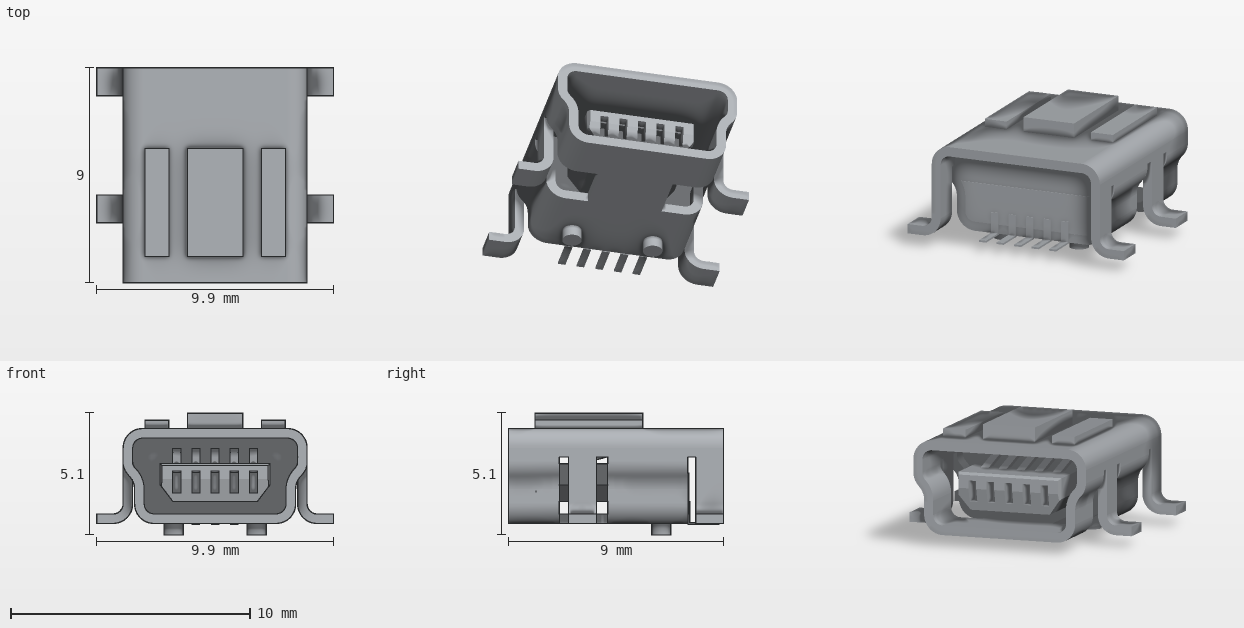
import cadquery as cq
import math


LENGTH = 9.0
SPAN = 9.9
SHELL_HALF_WIDTH = 3.85
SHELL_HEIGHT = 3.98
WALL = 0.41
BEND_RADIUS = 0.82
WAIST_TOP = 2.59
WAIST_ANGLE = 45.0

SLOT_TOP = 2.78
FRONT_CUT = (2.13, 4.15)
FLOOR_HALF_WIDTH = 1.58
FRONT_LEG = (2.5, 3.68)
REAR_CUT_START = 7.5
REAR_LEG = (7.82, LENGTH)

PAD_START = 1.1
PAD_LENGTH = 4.52
CENTRE_PAD_WIDTH = 2.32
CENTRE_PAD_HEIGHT = 0.63
SIDE_PAD_WIDTH = 1.0
SIDE_PAD_HEIGHT = 0.35
SIDE_PAD_X = 2.44

BLOCK_FRONT = 4.85
REAR_STEP_TOP = 2.11
REAR_STEP_END = 7.54
PEG_DIAMETER = 0.81
PEG_X = 1.73
PEG_Y = 6.39
PEG_DROP = 0.49

TONGUE_FRONT = 1.02
TONGUE_TOP = 2.5
TONGUE_SHOULDER = 1.62
TONGUE_BOTTOM = 0.92
TONGUE_HALF_WIDTH = 2.3
TONGUE_BOTTOM_HALF_WIDTH = 1.76
TAPER_LENGTH = 0.24
TAPER_INSET = 0.08
NOSE_BOTTOM = 1.86

CONTACT_COUNT = 5
CONTACT_PITCH = 0.8
CONTACT_WIDTH = 0.35
POCKET_BOTTOM = 1.29
POCKET_TOP = 2.2
POCKET_DEPTH = 0.79
TIP_THICKNESS = 0.07
TIP_SETBACK = 0.4
BEAM_FRONT = 2.475
BEAM_REAR_TOP = 3.15
BEAM_THICKNESS = 0.17
TAIL_WIDTH = 0.32
TAIL_TOP = 0.92
TAIL_BACK = 7.58
TAIL_END = 8.81
TAIL_DROP = 0.04
TAIL_THICKNESS = 0.08

contact_positions = [CONTACT_PITCH * (i - (CONTACT_COUNT - 1) / 2) for i in range(CONTACT_COUNT)]


def box(x_range, y_range, z_range):
    """Axis-aligned box between the given limits."""
    sizes = [high - low for low, high in (x_range, y_range, z_range)]
    corner = (x_range[0], y_range[0], z_range[0])
    return cq.Workplane("XY").box(*sizes, centered=False).translate(corner)


def centred_box(centre_x, width, y_range, z_range):
    """Box of the given width, centred on centre_x."""
    return box((centre_x - width / 2, centre_x + width / 2), y_range, z_range)


def along_y(sketch, y_start, y_end):
    """Extrude an XZ outline rearward from y_start to y_end."""
    return sketch.extrude(y_start - y_end).translate((0, y_start, 0))


def along_x(points, half_width, centre_x=0):
    """Extrude a closed YZ polygon to both sides of centre_x."""
    prism = cq.Workplane("YZ").polyline(points).close().extrude(half_width, both=True)
    return prism.translate((centre_x, 0, 0))


def shell_outline(inset):
    """XZ outline of the shell, moved inward by inset."""
    lean = math.radians(WAIST_ANGLE)
    half_lean = lean / 2
    corner = BEND_RADIUS - inset
    shoulder = BEND_RADIUS + inset
    waist_x = SHELL_HALF_WIDTH - 2 * BEND_RADIUS * (1 - math.cos(lean))
    waist_z = WAIST_TOP - 2 * BEND_RADIUS * math.sin(lean)
    top = SHELL_HEIGHT - inset
    upper_centre_x = SHELL_HALF_WIDTH - BEND_RADIUS
    upper_centre_z = SHELL_HEIGHT - BEND_RADIUS
    lower_centre_x = waist_x - BEND_RADIUS
    shoulder_centre_x = waist_x + BEND_RADIUS
    diagonal = corner * math.sqrt(0.5)

    def upper_bend(angle):
        return (upper_centre_x + corner * math.cos(angle), WAIST_TOP - corner * math.sin(angle))

    def lower_bend(angle):
        return (shoulder_centre_x - shoulder * math.cos(angle), waist_z + shoulder * math.sin(angle))

    half = (
        cq.Workplane("XZ")
        .moveTo(0, top)
        .lineTo(upper_centre_x, top)
        .threePointArc(
            (upper_centre_x + diagonal, upper_centre_z + diagonal),
            (SHELL_HALF_WIDTH - inset, upper_centre_z),
        )
        .lineTo(*upper_bend(0))
        .threePointArc(upper_bend(half_lean), upper_bend(lean))
        .threePointArc(lower_bend(half_lean), lower_bend(0))
        .lineTo(waist_x - inset, BEND_RADIUS)
        .threePointArc((lower_centre_x + diagonal, BEND_RADIUS - diagonal), (lower_centre_x, inset))
        .lineTo(0, inset)
    )
    return half.mirrorY()


def leg(y_range):
    """Right-hand leg: straight down from the side wall, then bent out into a foot."""
    foot_x = SHELL_HALF_WIDTH - WALL + BEND_RADIUS
    inner = BEND_RADIUS - WALL
    diagonal = math.sqrt(0.5)
    outline = (
        cq.Workplane("XZ")
        .moveTo(SHELL_HALF_WIDTH - WALL, SLOT_TOP)
        .lineTo(SHELL_HALF_WIDTH - WALL, BEND_RADIUS)
        .threePointArc((foot_x - BEND_RADIUS * diagonal, BEND_RADIUS * (1 - diagonal)), (foot_x, 0))
        .lineTo(SPAN / 2, 0)
        .lineTo(SPAN / 2, WALL)
        .lineTo(foot_x, WALL)
        .threePointArc(
            (foot_x - inner * diagonal, BEND_RADIUS - inner * diagonal),
            (SHELL_HALF_WIDTH, BEND_RADIUS),
        )
        .lineTo(SHELL_HALF_WIDTH, SLOT_TOP)
        .close()
    )
    return along_y(outline, *y_range)


def shell():
    """Folded sheet with leg openings, four legs and three roof pads."""
    body = along_y(shell_outline(0), 0, LENGTH).cut(along_y(shell_outline(WALL), 0, LENGTH))
    opening = box((FLOOR_HALF_WIDTH, SPAN / 2), FRONT_CUT, (0, SLOT_TOP))
    body = body.cut(opening).cut(opening.mirror("YZ"))
    body = body.cut(centred_box(0, SPAN, (REAR_CUT_START, LENGTH), (0, SLOT_TOP)))
    for y_range in (FRONT_LEG, REAR_LEG):
        body = body.union(leg(y_range)).union(leg(y_range).mirror("YZ"))
    pads = (
        (0, CENTRE_PAD_WIDTH, CENTRE_PAD_HEIGHT),
        (-SIDE_PAD_X, SIDE_PAD_WIDTH, SIDE_PAD_HEIGHT),
        (SIDE_PAD_X, SIDE_PAD_WIDTH, SIDE_PAD_HEIGHT),
    )
    for x, width, height in pads:
        z_range = (SHELL_HEIGHT - WALL / 2, SHELL_HEIGHT + height)
        body = body.union(centred_box(x, width, (PAD_START, PAD_START + PAD_LENGTH), z_range))
    return body


def insulator_block():
    """Plastic filling the rear of the shell, with a low rear step and two locating pegs."""
    block = along_y(shell_outline(WALL), BLOCK_FRONT, REAR_CUT_START)
    step = along_y(shell_outline(WALL), REAR_CUT_START, REAR_STEP_END)
    block = block.union(step.intersect(centred_box(0, SPAN, (0, LENGTH), (0, REAR_STEP_TOP))))
    pegs = (
        cq.Workplane("XY", origin=(0, PEG_Y, -PEG_DROP))
        .pushPoints([(-PEG_X, 0), (PEG_X, 0)])
        .circle(PEG_DIAMETER / 2)
        .extrude(PEG_DROP + WALL)
    )
    return block.union(pegs)


def tongue():
    """Tongue in front of the block: cut-off lower corners and a nose tapered on every side."""
    taper_end = TONGUE_FRONT + TAPER_LENGTH
    section = along_y(
        cq.Workplane("XZ")
        .polyline([
            (-TONGUE_HALF_WIDTH, TONGUE_TOP),
            (TONGUE_HALF_WIDTH, TONGUE_TOP),
            (TONGUE_HALF_WIDTH, TONGUE_SHOULDER),
            (TONGUE_BOTTOM_HALF_WIDTH, TONGUE_BOTTOM),
            (-TONGUE_BOTTOM_HALF_WIDTH, TONGUE_BOTTOM),
            (-TONGUE_HALF_WIDTH, TONGUE_SHOULDER),
        ])
        .close(),
        TONGUE_FRONT,
        BLOCK_FRONT,
    )
    side_profile = along_x(
        [
            (TONGUE_FRONT, NOSE_BOTTOM),
            (TONGUE_FRONT, TONGUE_TOP - TAPER_INSET),
            (taper_end, TONGUE_TOP),
            (BLOCK_FRONT, TONGUE_TOP),
            (BLOCK_FRONT, TONGUE_BOTTOM),
            (taper_end, TONGUE_BOTTOM),
        ],
        TONGUE_HALF_WIDTH,
    )
    nose_half = TONGUE_HALF_WIDTH - TAPER_INSET
    plan = (
        cq.Workplane("XY")
        .polyline([
            (-nose_half, TONGUE_FRONT),
            (nose_half, TONGUE_FRONT),
            (TONGUE_HALF_WIDTH, taper_end),
            (TONGUE_HALF_WIDTH, BLOCK_FRONT),
            (-TONGUE_HALF_WIDTH, BLOCK_FRONT),
            (-TONGUE_HALF_WIDTH, taper_end),
        ])
        .close()
        .extrude(TONGUE_TOP)
    )
    body = section.intersect(side_profile).intersect(plan)
    pocket_end = TONGUE_FRONT + POCKET_DEPTH
    for x in contact_positions:
        pocket = centred_box(x, CONTACT_WIDTH, (TONGUE_FRONT, pocket_end), (POCKET_BOTTOM, POCKET_TOP))
        tip = centred_box(
            x,
            CONTACT_WIDTH,
            (TONGUE_FRONT + TIP_SETBACK, pocket_end),
            (POCKET_TOP - TIP_THICKNESS, POCKET_TOP),
        )
        body = body.cut(pocket.cut(tip))
    return body


def contact_beam(x):
    """Spring beam sloping from the block face down onto the tongue."""
    points = [
        (BEAM_FRONT, TONGUE_TOP),
        (BLOCK_FRONT, BEAM_REAR_TOP),
        (BLOCK_FRONT, BEAM_REAR_TOP - BEAM_THICKNESS),
        (BEAM_FRONT, TONGUE_TOP - BEAM_THICKNESS),
    ]
    return along_x(points, CONTACT_WIDTH / 2, x)


def contact_tail(x):
    """Solder tail: down the rear of the block, then rearward along the board."""
    upright = centred_box(x, TAIL_WIDTH, (REAR_CUT_START, TAIL_BACK), (-TAIL_DROP, TAIL_TOP))
    flat = centred_box(x, TAIL_WIDTH, (REAR_CUT_START, TAIL_END), (-TAIL_DROP, TAIL_THICKNESS - TAIL_DROP))
    return upright.union(flat)


result = shell().union(insulator_block()).union(tongue())
for contact_x in contact_positions:
    result = result.union(contact_beam(contact_x)).union(contact_tail(contact_x))